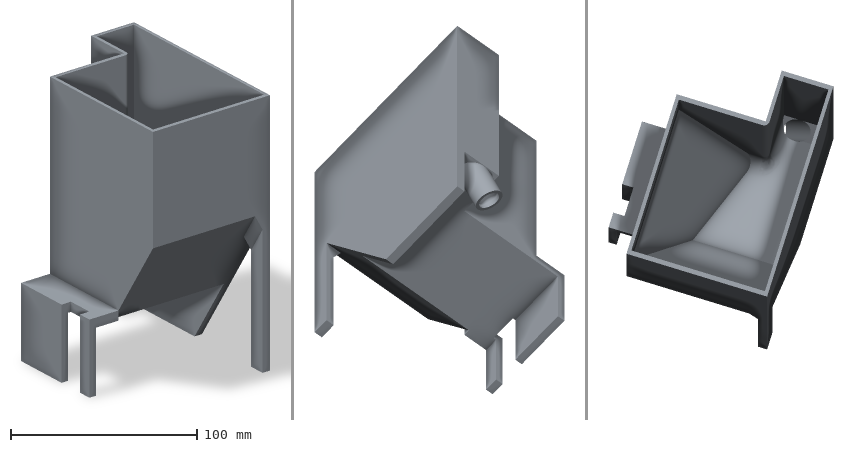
import cadquery as cq
import math

WIDTH = 120.0
DEPTH = 98.5
HEIGHT = 162.0

SIDE_WALL = 2.5
FRONT_BACK_WALL = 2.0
HOPPER_DEPTH = 79.0
HOPPER_FRONT = DEPTH - HOPPER_DEPTH
HOPPER_BOTTOM = 40.0

BAY_WIDTH = 29.0
BAY_DEPTH = 29.0
BAY_FRONT = DEPTH - BAY_DEPTH
INNER_CORNER_RADIUS = 3.0

CAVITY_LEFT = SIDE_WALL
CAVITY_RIGHT = WIDTH - SIDE_WALL
CAVITY_FRONT = HOPPER_FRONT + FRONT_BACK_WALL
CAVITY_BACK = DEPTH - FRONT_BACK_WALL
CAVITY_BAY_RIGHT = BAY_WIDTH + SIDE_WALL
CAVITY_BAY_FRONT = BAY_FRONT + FRONT_BACK_WALL

UNDERSIDE_FOOT_X = 60.0
UNDERSIDE_TOP_Z = 93.5
UNDERSIDE_SLOPE = UNDERSIDE_TOP_Z / (WIDTH - UNDERSIDE_FOOT_X)

PAD_LENGTH = 10.75
PAD_THICKNESS = 2.0
PAD_Z = HOPPER_BOTTOM + PAD_THICKNESS
CHUTE_ANGLE = 29.5
CHUTE_START_X = CAVITY_LEFT + PAD_LENGTH
CHUTE_FILLET = 6.0

RIGHT_RAMP_FOOT_X = 89.3
FRONT_RAMP_FOOT_Y = 47.3
RIGHT_RAMP_ANGLE = 59.0
FRONT_RAMP_ANGLE = 61.0

SPOUT_OUTER_DIAMETER = 16.0
SPOUT_BORE = 12.0
SPOUT_LENGTH = 20.0
SPOUT_LEAN = 35.0
SPOUT_X = 8.4
SPOUT_Y = 80.8

REAR_LEG_THICKNESS = 5.0
FRONT_LEG_THICKNESS = 4.5
BRACKET_TOP = 46.0
BRACKET_RIGHT = 89.4
SLOT_LEFT = 64.8
SLOT_RIGHT = 81.0
SLOT_DEPTH = 6.3
REAR_LEG_WIDTH = 10.0
REAR_LEG_CHAMFER = 5.0


def box(x0, x1, y0, y1, z0, z1):
    return cq.Workplane("XY").box(x1 - x0, y1 - y0, z1 - z0, centered=False).translate((x0, y0, z0))


def extrude_along_y(points, y0, y1):
    """Extrude an outline of (x, z) points from y0 to y1."""
    return cq.Workplane("XZ").polyline(points).close().extrude(-(y1 - y0)).translate((0, y0, 0))


def extrude_along_x(points, x0, x1):
    """Extrude an outline of (y, z) points from x0 to x1."""
    return cq.Workplane("YZ").polyline(points).close().extrude(x1 - x0).translate((x0, 0, 0))


def l_shaped_plan(left, right, front, back, bay_right, bay_front, z0, z1):
    outline = [
        (left, back),
        (left, bay_front),
        (bay_right, bay_front),
        (bay_right, front),
        (right, front),
        (right, back),
    ]
    return cq.Workplane("XY").workplane(offset=z0).polyline(outline).close().extrude(z1 - z0)


def underside_z(x):
    return UNDERSIDE_SLOPE * (x - UNDERSIDE_FOOT_X)


def chute_z(x):
    return PAD_Z + math.tan(math.radians(CHUTE_ANGLE)) * (x - CHUTE_START_X)


def below_underside():
    corner = [(UNDERSIDE_FOOT_X, 0), (WIDTH, UNDERSIDE_TOP_Z), (WIDTH, 0)]
    return extrude_along_y(corner, 0, DEPTH)


def hopper_body():
    """Solid hopper with the rear plate that reaches the feet, trimmed to the sloped underside."""
    body = l_shaped_plan(0, WIDTH, HOPPER_FRONT, DEPTH, BAY_WIDTH, BAY_FRONT, HOPPER_BOTTOM, HEIGHT)
    rear_plate = box(0, WIDTH, DEPTH - REAR_LEG_THICKNESS, DEPTH, 0, HOPPER_BOTTOM)
    return body.union(rear_plate).cut(below_underside())


def l_shaped_cavity():
    """Room between the walls, with the corner beside the spout bay rounded."""
    cavity = l_shaped_plan(
        CAVITY_LEFT, CAVITY_RIGHT, CAVITY_FRONT, CAVITY_BACK, CAVITY_BAY_RIGHT, CAVITY_BAY_FRONT, 0, HEIGHT
    )
    bay_corner = cq.selectors.NearestToPointSelector((CAVITY_BAY_RIGHT, CAVITY_BAY_FRONT, HEIGHT / 2))
    return cavity.edges("|Z").edges(bay_corner).fillet(INNER_CORNER_RADIUS)


def cut_chute(cavity):
    """Give the cavity its sloped floor, rounded along the back and spout bay walls."""
    below_chute = [(0, 0), (0, chute_z(0)), (WIDTH, chute_z(WIDTH)), (WIDTH, 0)]
    cavity = cavity.cut(extrude_along_y(below_chute, 0, DEPTH))

    middle_x = (CAVITY_LEFT + CAVITY_RIGHT) / 2
    bay_x = (CAVITY_LEFT + CAVITY_BAY_RIGHT) / 2
    back_edge = cq.selectors.NearestToPointSelector((middle_x, CAVITY_BACK, chute_z(middle_x)))
    bay_edge = cq.selectors.NearestToPointSelector((bay_x, CAVITY_BAY_FRONT, chute_z(bay_x)))
    return cavity.faces("<Z").edges(cq.selectors.SumSelector(back_edge, bay_edge)).fillet(CHUTE_FILLET)


def right_ramp():
    foot_z = chute_z(RIGHT_RAMP_FOOT_X)
    slope = math.tan(math.radians(RIGHT_RAMP_ANGLE))
    top_z = foot_z + slope * (CAVITY_RIGHT - RIGHT_RAMP_FOOT_X)
    outline = [(RIGHT_RAMP_FOOT_X, 0), (RIGHT_RAMP_FOOT_X, foot_z), (CAVITY_RIGHT, top_z), (CAVITY_RIGHT, 0)]
    return extrude_along_y(outline, 0, DEPTH)


def front_ramp():
    """Ramp whose face passes through the foot of the right ramp at FRONT_RAMP_FOOT_Y."""
    foot_z = chute_z(RIGHT_RAMP_FOOT_X)
    slope = math.tan(math.radians(FRONT_RAMP_ANGLE))
    top_z = foot_z + slope * (FRONT_RAMP_FOOT_Y - CAVITY_FRONT)
    outline = [(CAVITY_FRONT, 0), (CAVITY_FRONT, top_z), (CAVITY_FRONT + top_z / slope, 0)]
    return extrude_along_x(outline, 0, WIDTH)


def hopper_cavity():
    below_pad = box(0, WIDTH, 0, DEPTH, 0, PAD_Z)
    return cut_chute(l_shaped_cavity()).cut(below_pad).cut(right_ramp()).cut(front_ramp())


def front_bracket():
    bracket = box(BAY_WIDTH, BRACKET_RIGHT, 0, HOPPER_FRONT, 0, BRACKET_TOP)
    under = box(BAY_WIDTH, BRACKET_RIGHT, FRONT_LEG_THICKNESS, HOPPER_FRONT, 0, HOPPER_BOTTOM)
    slot = box(SLOT_LEFT, SLOT_RIGHT, 0, SLOT_DEPTH, 0, BRACKET_TOP)
    return bracket.cut(under).cut(slot)


def rear_leg():
    """Right rear leg, widened by a chamfer where it meets the sloped underside."""
    left = WIDTH - REAR_LEG_WIDTH
    leg_front = DEPTH - REAR_LEG_THICKNESS
    drop = REAR_LEG_CHAMFER * math.hypot(1, UNDERSIDE_SLOPE)

    leg = [(left, 0), (left, underside_z(left)), (WIDTH, UNDERSIDE_TOP_Z), (WIDTH, 0)]

    def gusset_outline(x):
        z = underside_z(x)
        corners = [
            cq.Vector(x, leg_front, z),
            cq.Vector(x, leg_front - REAR_LEG_CHAMFER, z),
            cq.Vector(x, leg_front, z - drop),
        ]
        return cq.Wire.makePolygon(corners, close=True)

    gusset = cq.Solid.makeLoft([gusset_outline(left), gusset_outline(WIDTH)], True)
    return extrude_along_y(leg, leg_front, DEPTH).union(cq.Workplane(gusset))


def spout_cylinder(diameter, start, end):
    """Cylinder on the spout axis between two distances down from the pad."""
    lean = math.radians(SPOUT_LEAN)
    axis = cq.Vector(0, -math.sin(lean), -math.cos(lean))
    origin = cq.Vector(SPOUT_X, SPOUT_Y, PAD_Z) + axis * start
    return cq.Workplane(cq.Solid.makeCylinder(diameter / 2, end - start, origin, axis))


def spout_tube():
    tube = spout_cylinder(SPOUT_OUTER_DIAMETER, -SPOUT_OUTER_DIAMETER, SPOUT_LENGTH)
    return tube.cut(box(0, WIDTH, 0, DEPTH, HOPPER_BOTTOM, HEIGHT))


hopper = hopper_body().union(front_bracket()).union(rear_leg()).cut(hopper_cavity())
spout_bore = spout_cylinder(SPOUT_BORE, -SPOUT_BORE, SPOUT_LENGTH)
result = hopper.union(spout_tube()).cut(spout_bore)